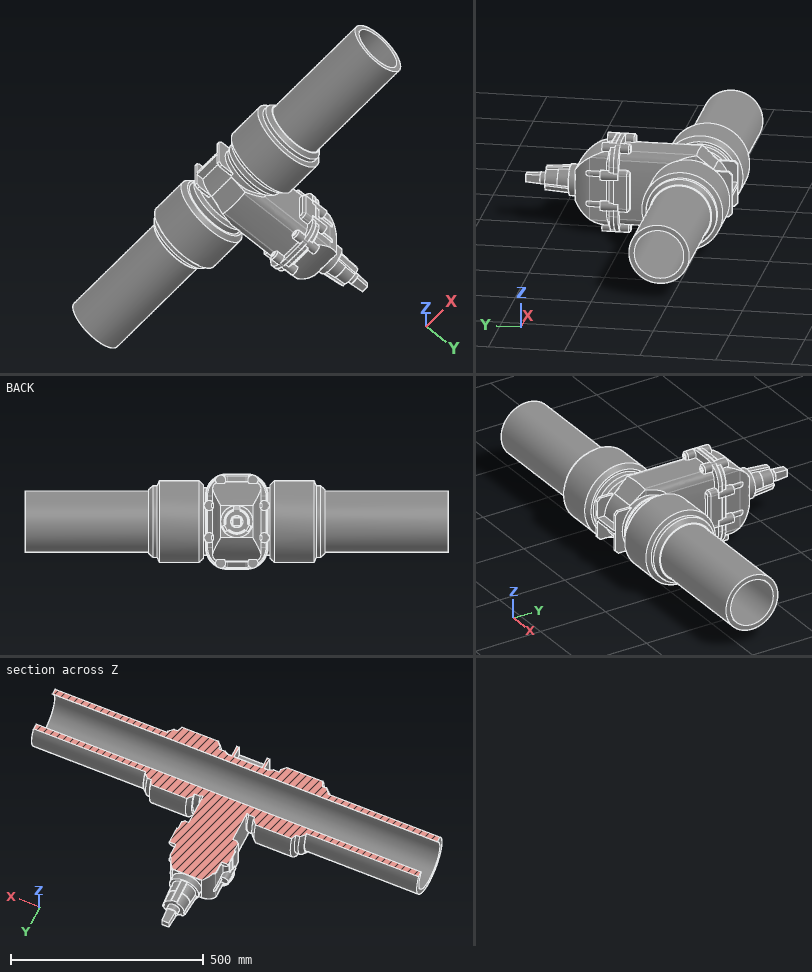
import cadquery as cq

LENGTH = 1101.0
PIPE_D = 160.0
BORE_D = 131.0

COLLAR_D = 214.0
COLLAR_START = 98.0
COLLAR_END = 201.0
COLLAR_BEVEL = 12.0
LIP_R = 94.0
LIP_START = 207.0
LIP_END = 218.0
TAPER_END = 230.0
TAPER_END_R = 83.0
NECK_R = 88.0
NECK_START = 69.0
STUB_R = 83.0
STUB_FLARE_START = 58.0

BODY_HALF_X = 65.0
BODY_HALF_Z = 102.0
BODY_CORNER_X = 57.0
BODY_CORNER_Z = 99.0
BODY_CORNER_R = 23.0
BODY_TAPER_Y = 61.0
FACET_TOP_Y = -8.0
FACET_TOP_HALF_X = 44.0
FACET_LOW_Y = -53.0
FACET_LOW_Z = 64.0
FACET_LOW_HALF_X = 39.0

FLANGE_Y = 192.0
FLANGE_SPLIT_Y = 204.0
FLANGE_TOP_Y = 216.0
FLANGE_HALF_X = 81.0
FLANGE_HALF_Z = 124.0
FLANGE_CORNER_R = 57.0
COVER_INSET = 2.0
SHOULDER_INSET = 5.0
SHOULDER_HEIGHT = 10.0
SHOULDER_TAPER = 55

END_BOLT_X = 42.0
END_BOLT_Z = 108.0
SIDE_BOLT_X = 72.0
SIDE_BOLT_Z = 42.0
BOSS_R = 13.0
BOSS_TOP_Y = 239.0
NUT_BOTTOM_Y = 164.0
NUT_BEVEL = 4.0
SOCKET_D = 11.0
SOCKET_DEPTH = 5.0
SIDE_PAD_BOTTOM_Y = 162.0
SIDE_PAD_HALF_X = 81.0
SIDE_PAD_HALF_Z = 56.0
SIDE_PAD_BEVEL = 7.0
SIDE_PAD_CORNER_R = 11.0

DOME_HALF_X = 63.0
DOME_CORNER_R = 17.0
DOME_TOP_Y = 312.0
DOME_TOP_R = 42.0
PLAN_SHOULDER_Y = 247.0
PLAN_BULGE = (60.0, 283.0)
SIDE_SHOULDER_Y = 227.0
SIDE_BULGE = (77.0, 281.0)
BULLET_R = 10.0
BULLET_X = 56.0
BULLET_SHAFT_TOP_Y = 271.0

RING_D = 84.0
RING_TOP_Y = 330.0
HUB_BASE_R = 33.0
HUB_STEP_LOW_R = 31.0
HUB_STEP_HIGH_R = 30.0
HUB_STEP_Y = 361.0
HUB_TOP_R = 29.0
HUB_TOP_Y = 394.0
RIB_COUNT = 3
RIB_WIDTH = 17.0
RIB_BASE_R = 39.0
RIB_TOP_R = 33.0
STEM_COLLAR_D = 32.0
STEM_COLLAR_TOP_Y = 410.0
STEM_BASE_SIDE = 24.0
STEM_TIP_SIDE = 20.0
STEM_TOP_Y = 448.0

FOOT_Y = -103.0
FOOT_INNER_X = 40.0
FOOT_THICK = 8.0
FOOT_HALF_Z = 62.0
FOOT_CHAMFER = 9.0
FOOT_TIE_THICK = 10.0


def cylinder_y(radius, y_low, y_high, x=0.0, z=0.0):
    """Cylinder parallel to Y."""
    start = cq.Vector(x, y_low, z)
    return cq.Workplane(cq.Solid.makeCylinder(radius, y_high - y_low, start, cq.Vector(0, 1, 0)))


def cone_y(r_low, r_high, y_low, y_high):
    """Cone frustum on the stem axis."""
    start = cq.Vector(0, y_low, 0)
    return cq.Workplane(cq.Solid.makeCone(r_low, r_high, y_high - y_low, start, cq.Vector(0, 1, 0)))


def section_plane(y):
    """Plane across the stem axis: local x = X, local y = -Z, normal = +Y."""
    return cq.Workplane(cq.Plane(origin=(0, y, 0), xDir=(1, 0, 0), normal=(0, 1, 0)))


def four_spots(x, z):
    """A point in XZ and its mirror images in both axes."""
    return [(sx * x, sz * z) for sx in (-1, 1) for sz in (-1, 1)]


def rounded_plate(half_x, half_z, corner, y_low, y_high):
    """Rectangle in XZ with rounded corners, run along Y."""
    plate = section_plane(y_low).rect(2 * half_x, 2 * half_z).extrude(y_high - y_low)
    return plate.edges("|Y").fillet(corner)


def body_prism(y_low, y_high):
    """Body section with bulged walls and rounded corners, run along Y."""
    prism = (
        section_plane(y_low)
        .moveTo(-BODY_CORNER_X, BODY_CORNER_Z)
        .threePointArc((0, BODY_HALF_Z), (BODY_CORNER_X, BODY_CORNER_Z))
        .threePointArc((BODY_HALF_X, 0), (BODY_CORNER_X, -BODY_CORNER_Z))
        .threePointArc((0, -BODY_HALF_Z), (-BODY_CORNER_X, -BODY_CORNER_Z))
        .threePointArc((-BODY_HALF_X, 0), (-BODY_CORNER_X, BODY_CORNER_Z))
        .close()
        .extrude(y_high - y_low)
    )
    return prism.edges("|Y").fillet(BODY_CORNER_R)


def pipe_run():
    """Pipes, sockets and valve stubs turned about X, half by half."""
    half = (
        cq.Workplane("XY")
        .polyline([
            (0, 0),
            (0, STUB_R),
            (STUB_FLARE_START, STUB_R),
            (NECK_START, NECK_R),
            (COLLAR_START - COLLAR_BEVEL, NECK_R),
            (COLLAR_START - COLLAR_BEVEL, COLLAR_D / 2 - COLLAR_BEVEL),
            (COLLAR_START, COLLAR_D / 2),
            (COLLAR_END, COLLAR_D / 2),
            (LIP_START, LIP_R),
            (LIP_END, LIP_R),
            (TAPER_END, TAPER_END_R),
            (TAPER_END, PIPE_D / 2),
            (LENGTH / 2, PIPE_D / 2),
            (LENGTH / 2, 0),
        ])
        .close()
        .revolve(360, (0, 0, 0), (1, 0, 0))
    )
    return half.union(half.mirror("YZ"))


def valve_body():
    """Body prism, narrowed towards the pipe and closed by sloped facets."""
    side_outline = (
        cq.Workplane("YZ")
        .polyline([
            (FLANGE_Y, BODY_HALF_Z),
            (FACET_TOP_Y, BODY_HALF_Z),
            (FACET_LOW_Y, FACET_LOW_Z),
            (FACET_LOW_Y, -FACET_LOW_Z),
            (FACET_TOP_Y, -BODY_HALF_Z),
            (FLANGE_Y, -BODY_HALF_Z),
        ])
        .close()
        .extrude(BODY_HALF_X, both=True)
    )
    plan_outline = (
        cq.Workplane("XY")
        .polyline([
            (BODY_HALF_X, FLANGE_Y),
            (BODY_HALF_X, BODY_TAPER_Y),
            (FACET_TOP_HALF_X, FACET_TOP_Y),
            (FACET_LOW_HALF_X, FACET_LOW_Y),
            (-FACET_LOW_HALF_X, FACET_LOW_Y),
            (-FACET_TOP_HALF_X, FACET_TOP_Y),
            (-BODY_HALF_X, BODY_TAPER_Y),
            (-BODY_HALF_X, FLANGE_Y),
        ])
        .close()
        .extrude(BODY_HALF_Z, both=True)
    )
    return body_prism(FACET_LOW_Y, FLANGE_Y).intersect(side_outline).intersect(plan_outline)


def dome_block(plane, half_width, shoulder_y, bulge):
    """Block with local y along the stem: straight to the shoulder, then one arc each side."""
    bulge_width, bulge_y = bulge
    return (
        cq.Workplane(plane)
        .moveTo(-half_width, FLANGE_TOP_Y)
        .lineTo(half_width, FLANGE_TOP_Y)
        .lineTo(half_width, shoulder_y)
        .threePointArc((bulge_width, bulge_y), (DOME_TOP_R, DOME_TOP_Y))
        .lineTo(-DOME_TOP_R, DOME_TOP_Y)
        .threePointArc((-bulge_width, bulge_y), (-half_width, shoulder_y))
        .close()
        .extrude(FLANGE_HALF_Z, both=True)
    )


def bonnet():
    """Dome bounded by a plan outline and a side outline, with a round-nosed bullet at each side bolt."""
    plan = dome_block("XY", DOME_HALF_X, PLAN_SHOULDER_Y, PLAN_BULGE)
    side = dome_block("ZY", BODY_HALF_Z, SIDE_SHOULDER_Y, SIDE_BULGE)
    dome = rounded_plate(DOME_HALF_X, BODY_HALF_Z, DOME_CORNER_R, FLANGE_TOP_Y, DOME_TOP_Y)
    dome = dome.intersect(plan).intersect(side)
    nose = cq.Workplane("XY").sphere(BULLET_R)
    for x, z in four_spots(BULLET_X, SIDE_BOLT_Z):
        dome = dome.union(cylinder_y(BULLET_R, FLANGE_TOP_Y, BULLET_SHAFT_TOP_Y, x, z))
        dome = dome.union(nose.translate((x, BULLET_SHAFT_TOP_Y, z)))
    return dome


def flanges():
    """Lower flange, cover flange and the shoulder that slopes up to the dome."""
    lower = rounded_plate(FLANGE_HALF_X, FLANGE_HALF_Z, FLANGE_CORNER_R, FLANGE_Y, FLANGE_SPLIT_Y)
    cover = rounded_plate(
        FLANGE_HALF_X - COVER_INSET,
        FLANGE_HALF_Z - COVER_INSET,
        FLANGE_CORNER_R - COVER_INSET,
        FLANGE_SPLIT_Y,
        FLANGE_TOP_Y,
    )
    shoulder_sketch = (
        cq.Sketch()
        .rect(2 * (FLANGE_HALF_X - SHOULDER_INSET), 2 * (FLANGE_HALF_Z - SHOULDER_INSET))
        .vertices()
        .fillet(FLANGE_CORNER_R - SHOULDER_INSET)
    )
    shoulder = (
        section_plane(FLANGE_TOP_Y)
        .placeSketch(shoulder_sketch)
        .extrude(SHOULDER_HEIGHT, taper=SHOULDER_TAPER)
    )
    return lower.union(cover).union(shoulder)


def bolting():
    """Bosses above the flange, socketed nuts below it, and the pads beside the body."""
    bolt = cylinder_y(BOSS_R, NUT_BOTTOM_Y, BOSS_TOP_Y).faces("<Y").chamfer(NUT_BEVEL)
    socket = section_plane(NUT_BOTTOM_Y).polygon(6, SOCKET_D).extrude(SOCKET_DEPTH)
    bolt = bolt.cut(socket)
    pads = (
        section_plane(SIDE_PAD_BOTTOM_Y)
        .rect(2 * SIDE_PAD_HALF_X, 2 * SIDE_PAD_HALF_Z)
        .extrude(FLANGE_Y - SIDE_PAD_BOTTOM_Y)
        .edges("|Y")
        .fillet(SIDE_PAD_CORNER_R)
        .faces("<Y")
        .chamfer(SIDE_PAD_BEVEL)
    )
    for x, z in four_spots(END_BOLT_X, END_BOLT_Z):
        pads = pads.union(bolt.translate((x, 0, z)))
    for x, z in four_spots(SIDE_BOLT_X, SIDE_BOLT_Z):
        pads = pads.union(cylinder_y(BOSS_R, FLANGE_Y, BOSS_TOP_Y, x, z))
    return pads


def gland_and_stem():
    """Ring, stepped hub with three ribs, then the round and square parts of the stem."""
    gland = cylinder_y(RING_D / 2, DOME_TOP_Y, RING_TOP_Y)
    gland = gland.union(cone_y(HUB_BASE_R, HUB_STEP_LOW_R, RING_TOP_Y, HUB_STEP_Y))
    gland = gland.union(cone_y(HUB_STEP_HIGH_R, HUB_TOP_R, HUB_STEP_Y, HUB_TOP_Y))
    rib = (
        cq.Workplane("YZ")
        .polyline([(RING_TOP_Y, 0), (RING_TOP_Y, RIB_BASE_R), (HUB_TOP_Y, RIB_TOP_R), (HUB_TOP_Y, 0)])
        .close()
        .extrude(RIB_WIDTH / 2, both=True)
    )
    for i in range(RIB_COUNT):
        gland = gland.union(rib.rotate((0, 0, 0), (0, 1, 0), i * 360 / RIB_COUNT))
    gland = gland.union(cylinder_y(STEM_COLLAR_D / 2, HUB_TOP_Y, STEM_COLLAR_TOP_Y))
    square = (
        section_plane(STEM_COLLAR_TOP_Y)
        .rect(STEM_BASE_SIDE, STEM_BASE_SIDE)
        .workplane(offset=STEM_TOP_Y - STEM_COLLAR_TOP_Y)
        .rect(STEM_TIP_SIDE, STEM_TIP_SIDE)
        .loft(combine=True)
    )
    return gland.union(square)


def feet():
    """Two foot plates and the web that ties them."""
    foot = (
        cq.Workplane("YZ", origin=(FOOT_INNER_X, 0, 0))
        .rect(-2 * FOOT_Y, 2 * FOOT_HALF_Z)
        .extrude(FOOT_THICK)
        .edges("|X and <Y")
        .chamfer(FOOT_CHAMFER)
        .intersect(cq.Workplane("XY").box(LENGTH, -FOOT_Y, LENGTH).translate((0, FOOT_Y / 2, 0)))
    )
    tie = (
        cq.Workplane("XY")
        .box(2 * FOOT_INNER_X, -FOOT_Y, FOOT_TIE_THICK)
        .translate((0, FOOT_Y / 2, 0))
    )
    return foot.union(foot.mirror("YZ")).union(tie)


bore = cq.Workplane("YZ").circle(BORE_D / 2).extrude(LENGTH / 2, both=True)

result = (
    pipe_run()
    .union(valve_body())
    .union(flanges())
    .union(bonnet())
    .union(bolting())
    .union(gland_and_stem())
    .union(feet())
    .cut(bore)
)